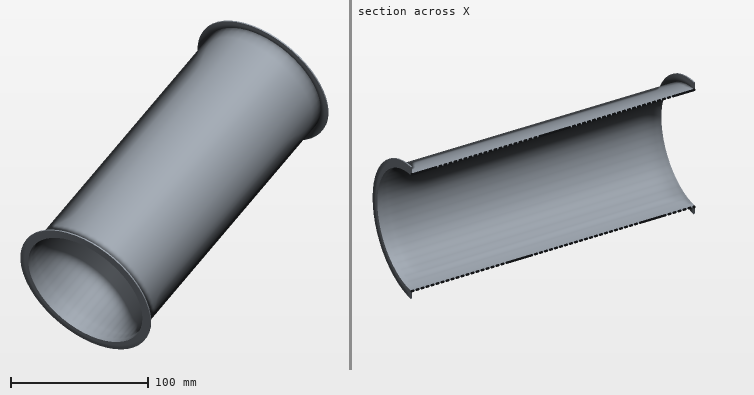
import cadquery as cq

length = 238.0
bore_diameter = 99.0
tube_diameter = 101.0
flange_diameter = 113.0
flange_thickness = 1.0


def ring(outer_diameter, thickness, start_y):
    """Ring around the Y axis with the common bore, running toward +Y from start_y."""
    return (
        cq.Workplane("XZ", origin=(0, start_y, 0))
        .circle(outer_diameter / 2)
        .circle(bore_diameter / 2)
        .extrude(-thickness)
    )


tube = ring(tube_diameter, length, -length / 2)
front_flange = ring(flange_diameter, flange_thickness, -length / 2)
back_flange = ring(flange_diameter, flange_thickness, length / 2 - flange_thickness)

result = tube.union(front_flange).union(back_flange)